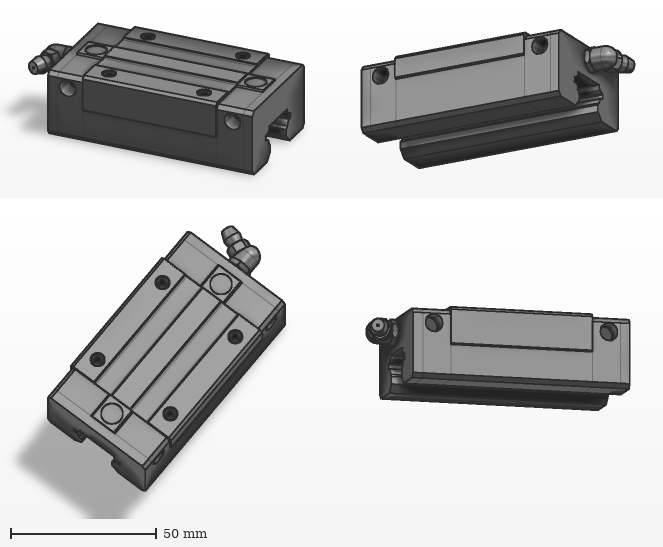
import cadquery as cq
import math


overall_length = 89.5
block_length = 50.5
cap_length = 10.0
seal_length = 3.5
body_half_length = block_length / 2 + cap_length + seal_length

block_height = 25.4
relief_depth = 0.5
pad_height = block_height - relief_depth
cap_height = pad_height - relief_depth

block_half_width = 22.0
cap_half_width = 21.4
cap_bevel_width = 1.3
cap_bevel_height = 1.6
block_bevel = 1.1
front_ledge_height = 12.1
rear_ledge_height = 17.0
ledge_slope = 0.45

groove_inner = 3.9
groove_outer = 11.9
groove_wall_run = 0.3
groove_wall_drop = 0.2
groove_arc_run = 0.6

passage_height = 12.9
slot_half_width = 10.1
slot_top = 10.2
slot_bottom = 8.8
throat_half_width = 6.6
throat_top = 5.4
mouth_flare = 2.8

upper_lip = [(7.4, passage_height), (8.1, 11.2), (9.85, 10.5)]
lower_lip = [(7.6, 6.35), (8.0, 7.5), (8.9, 8.4)]
lower_lip_edge = 9.8

pad_half_width = 4.7
pad_recess_radius = 3.8
pad_recess_depth = 0.45
pad_recess_inset = 8.5

mount_spacing_x = 36.0
mount_spacing_y = 31.95
mount_radius = 2.15
mount_chamfer = 0.4
mount_depth = 8.05
drill_point_half_angle = 59

port_radius = 3.0
port_depth = 7.2
port_inset = 7.5
axis_height = 19.4

elbow_radius = 4.0
elbow_reach = 6.7
neck_radius = 3.1
collar_start = 0.5
collar_end = 2.6
collar_bevel = 0.45

spout_angle = 22
spout_hex_start = 2.95
spout_hex_end = 6.3
spout_hex_apothem = 3.5
spout_hex_bevel = 0.5
spout_root_radius = 2.6
spout_bulge_radius = 3.1
spout_bulge = 9.3
spout_tip_radius = 2.2
spout_tip = 12.8
spout_bore_radius = 0.4
spout_bore_depth = 0.9

spout_lean = math.radians(spout_angle)
spout_reach = spout_tip * math.sin(spout_lean) + spout_tip_radius * math.cos(spout_lean)
spout_offset = overall_length - 2 * body_half_length - spout_reach


def extrude_along_x(outline, length):
    """Extrude an outline drawn in YZ, centred on X = 0."""
    return outline.close().extrude(length / 2, both=True)


def cap_section(length):
    """Rectangle with bevelled corners, used for the end caps and seals."""
    bevel_y = cap_half_width - cap_bevel_width
    outline = cq.Workplane("YZ").polyline([
        (-bevel_y, 0),
        (bevel_y, 0),
        (cap_half_width, cap_bevel_height),
        (cap_half_width, cap_height - cap_bevel_height),
        (bevel_y, cap_height),
        (-bevel_y, cap_height),
        (-cap_half_width, cap_height - cap_bevel_height),
        (-cap_half_width, cap_bevel_height),
    ])
    return extrude_along_x(outline, length)


def block_section():
    """Steel block: wider above a sloped ledge that is higher on the +Y side."""
    bevel_y = cap_half_width - cap_bevel_width
    top_y = block_half_width - block_bevel
    shoulder = block_height - block_bevel
    outline = cq.Workplane("YZ").polyline([
        (-bevel_y, 0),
        (bevel_y, 0),
        (cap_half_width, cap_bevel_height),
        (cap_half_width, rear_ledge_height),
        (block_half_width, rear_ledge_height + ledge_slope),
        (block_half_width, shoulder),
        (top_y, block_height),
        (-top_y, block_height),
        (-block_half_width, shoulder),
        (-block_half_width, front_ledge_height + ledge_slope),
        (-cap_half_width, front_ledge_height),
        (-cap_half_width, cap_bevel_height),
    ])
    return extrude_along_x(outline, block_length)


def relief_groove():
    """Shallow groove on the +Y half; steep walls run into the floor as tangent arcs."""
    wall_foot = block_height - groove_wall_drop
    arc_height = relief_depth - groove_wall_drop
    arc_radius = (groove_arc_run ** 2 + arc_height ** 2) / (2 * arc_height)
    inner_foot = groove_inner + groove_wall_run
    outer_foot = groove_outer - groove_wall_run
    outline = (
        cq.Workplane("YZ")
        .moveTo(groove_inner, block_height)
        .lineTo(inner_foot, wall_foot)
        .radiusArc((inner_foot + groove_arc_run, pad_height), -arc_radius)
        .lineTo(outer_foot - groove_arc_run, pad_height)
        .radiusArc((outer_foot, wall_foot), -arc_radius)
        .lineTo(groove_outer, block_height)
    )
    return extrude_along_x(outline, block_length)


def cap_pad():
    """Raised strip with sloped flanks on top of an end cap."""
    base = pad_half_width + relief_depth
    outline = cq.Workplane("YZ").polyline([
        (-base, cap_height),
        (base, cap_height),
        (pad_half_width, pad_height),
        (-pad_half_width, pad_height),
    ])
    return extrude_along_x(outline, cap_length)


def rail_half(side):
    """Half of the rail passage, with rounded lips above and below a side slot.

    side is +1 or -1 along Y.
    """
    upper_inner, upper_middle, upper_end = [(side * y, z) for y, z in upper_lip]
    lower_inner, lower_middle, lower_end = [(side * y, z) for y, z in lower_lip]
    outline = (
        cq.Workplane("YZ")
        .moveTo(0, passage_height)
        .lineTo(*upper_inner)
        .threePointArc(upper_middle, upper_end)
        .lineTo(side * slot_half_width, slot_top)
        .lineTo(side * slot_half_width, slot_bottom)
        .lineTo(side * lower_lip_edge, lower_end[1])
        .lineTo(*lower_end)
        .threePointArc(lower_middle, lower_inner)
        .lineTo(side * throat_half_width, throat_top)
        .lineTo(side * throat_half_width, mouth_flare)
        .lineTo(side * (throat_half_width + mouth_flare), 0)
        .lineTo(0, 0)
    )
    return extrude_along_x(outline, 2 * body_half_length)


def mount_hole(x, y):
    """Chamfered blind hole with a conical drill point, cut down from the block top."""
    floor = block_height - mount_depth
    point_depth = mount_radius / math.tan(math.radians(drill_point_half_angle))
    profile = cq.Workplane("XZ").polyline([
        (0, block_height),
        (mount_radius + mount_chamfer, block_height),
        (mount_radius, block_height - mount_chamfer),
        (mount_radius, floor),
        (0, floor - point_depth),
    ]).close()
    return profile.revolve(360, (0, 0, 0), (0, 1, 0)).translate((x, y, 0))


def hex_nut(apothem, start, end, bevel, bevelled_ends):
    """Hexagon along Z; bevelled_ends selects the end edges whose corners are bevelled."""
    corner_radius = apothem / math.cos(math.pi / 6)
    length = end - start
    prism = cq.Workplane("XY").polygon(6, 2 * corner_radius).extrude(length)
    envelope = cq.Workplane("XY").circle(corner_radius).extrude(length).edges(bevelled_ends).chamfer(bevel)
    return prism.intersect(envelope).translate((0, 0, start))


def elbow():
    """Straight part towards -X: neck, collar, and domed barrel with a flat seat for the spout."""
    neck = cq.Workplane("XY").circle(neck_radius).extrude(collar_end)
    collar = hex_nut(elbow_radius, collar_start, collar_end, collar_bevel, "%CIRCLE")
    barrel_plane = cq.Workplane("XY").workplane(offset=collar_end)
    barrel = barrel_plane.circle(elbow_radius).extrude(elbow_reach - collar_end)
    dome = cq.Workplane("XY").sphere(elbow_radius).translate((0, 0, elbow_reach))
    shell = barrel.union(dome).rotate((0, 0, 0), (0, 1, 0), -90)
    seat_plane = cq.Workplane("XY").workplane(offset=spout_hex_start)
    seat_cut = seat_plane.circle(2 * elbow_reach).extrude(elbow_reach)
    root = neck.union(collar).rotate((0, 0, 0), (0, 1, 0), -90)
    return root.union(shell.cut(lean_spout(seat_cut)))


def lean_spout(shape):
    """Turn a shape built along Z onto the spout axis, swung from -Y towards -X."""
    return (
        shape
        .rotate((0, 0, 0), (1, 0, 0), 90)
        .rotate((0, 0, 0), (0, 0, 1), -spout_angle)
        .translate((-spout_offset, 0, 0))
    )


def spout():
    """Angled part along Z: hexagon, tapered head and grease bore."""
    head = cq.Workplane("XZ").polyline([
        (0, spout_hex_start),
        (spout_root_radius, spout_hex_start),
        (spout_root_radius, spout_hex_end),
        (spout_bulge_radius, spout_bulge),
        (spout_tip_radius, spout_tip),
        (0, spout_tip),
    ]).close().revolve(360, (0, 0, 0), (0, 1, 0))
    bore = cq.Workplane("XY").workplane(offset=spout_tip).circle(spout_bore_radius).extrude(-spout_bore_depth)
    nut = hex_nut(spout_hex_apothem, spout_hex_start, spout_hex_end, spout_hex_bevel, ">Z")
    return nut.union(head).cut(bore)


def grease_nipple():
    """Nipple leaving the -X face, its spout swung towards -Y."""
    nipple = elbow().union(lean_spout(spout()))
    return nipple.translate((-body_half_length, 0, axis_height))


body = block_section()
groove = relief_groove()
body = body.cut(groove).cut(groove.mirror("XZ"))
for x_side in (-1, 1):
    for y_side in (-1, 1):
        body = body.cut(mount_hole(x_side * mount_spacing_x / 2, y_side * mount_spacing_y / 2))

for end in (-1, 1):
    cap_x = end * (block_length + cap_length) / 2
    seal_x = end * (body_half_length - seal_length / 2)
    recess_x = end * (body_half_length - pad_recess_inset)
    port_x = end * (body_half_length - port_inset)
    cap = cap_section(cap_length).union(cap_pad()).translate((cap_x, 0, 0))
    recess = cq.Workplane("XY").circle(pad_recess_radius).extrude(-pad_recess_depth)
    cap = cap.cut(recess.translate((recess_x, 0, pad_height)))
    for side in (-1, 1):
        port = cq.Workplane("XZ").circle(port_radius).extrude(side * port_depth)
        cap = cap.cut(port.translate((port_x, side * cap_half_width, axis_height)))
    seal = cap_section(seal_length).translate((seal_x, 0, 0))
    body = body.union(cap, clean=False).union(seal, clean=False)

for side in (-1, 1):
    body = body.cut(rail_half(side), clean=False)

result = body.union(grease_nipple(), clean=False)